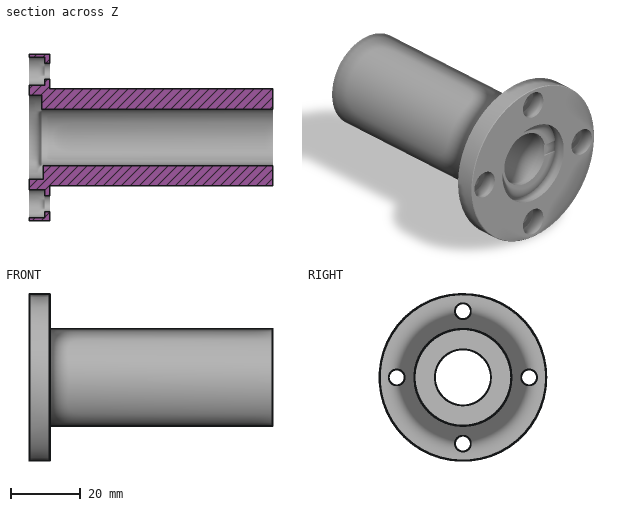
import cadquery as cq

TOTAL_LENGTH = 70
FLANGE_DIAMETER = 48.0
FLANGE_THICKNESS = 6.0
SLEEVE_DIAMETER = 28
BORE_DIAMETER = 16.0
EDGE_CHAMFER = 0.175

RECESS_DIAMETER = 24.0
RECESS_DEPTH = 3.5
SLOT_WIDTH = 3.5
SLOT_DEPTH = 0.5

BOLT_COUNT = 4
BOLT_CIRCLE_DIAMETER = 38.0
BOLT_HOLE_DIAMETER = 4.5
COUNTERBORE_DIAMETER = 8.0
COUNTERBORE_DEPTH = 4.4


def cylinder(diameter, length):
    """Cylinder on the X axis, starting at the flange face."""
    return cq.Workplane("YZ").circle(diameter / 2).extrude(length)


def bolt_pattern(diameter, depth):
    """Cylinders on the bolt circle, running inward from the flange face."""
    return (
        cq.Workplane("YZ")
        .polarArray(BOLT_CIRCLE_DIAMETER / 2, 0, 360, BOLT_COUNT)
        .circle(diameter / 2)
        .extrude(depth)
    )


def radial_slot():
    """Slot on the -Y side, from the bore out to the recess wall."""
    recess_radius = RECESS_DIAMETER / 2
    depth = RECESS_DEPTH + SLOT_DEPTH
    strip = cq.Workplane("XY").box(depth, recess_radius, SLOT_WIDTH, centered=(False, False, True))
    strip = strip.translate((0, -recess_radius, 0))
    return strip.intersect(cylinder(RECESS_DIAMETER, depth))


flange = cylinder(FLANGE_DIAMETER, FLANGE_THICKNESS).edges().chamfer(EDGE_CHAMFER)
sleeve = cylinder(SLEEVE_DIAMETER, TOTAL_LENGTH).faces(">X").edges().chamfer(EDGE_CHAMFER)
body = flange.union(sleeve)

body = body.cut(cylinder(BORE_DIAMETER, TOTAL_LENGTH))
body = body.cut(cylinder(RECESS_DIAMETER, RECESS_DEPTH))
body = body.cut(radial_slot())

body = body.cut(bolt_pattern(BOLT_HOLE_DIAMETER, FLANGE_THICKNESS))
result = body.cut(bolt_pattern(COUNTERBORE_DIAMETER, COUNTERBORE_DEPTH))